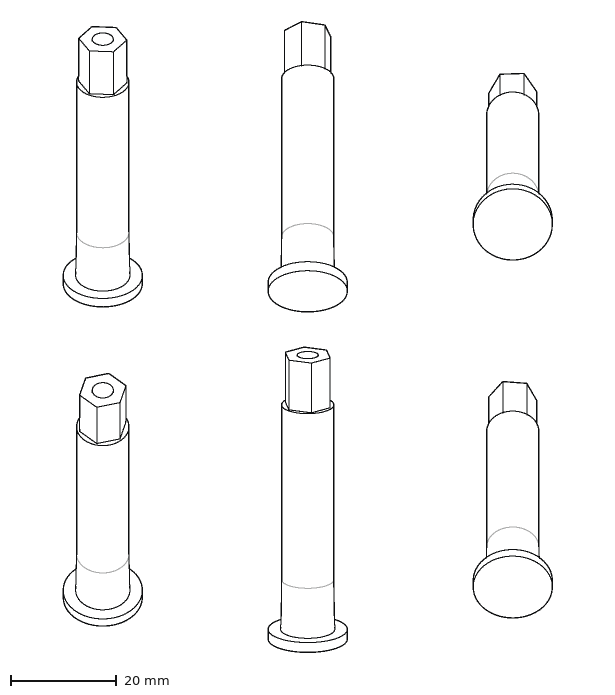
import cadquery as cq

total_length = 57.0
flange_diameter = 15.0
flange_thickness = 2.0
collar_length = 10.0
collar_base_diameter = 10.25
shank_diameter = 9.9
hex_length = 10.0
hex_across_corners = 9.1
hex_turn = 4.4
bore_diameter = 4.0
bore_depth = hex_length

shank_bottom = flange_thickness + collar_length
hex_bottom = total_length - hex_length


def turned_body():
    """Flange, tapered collar and straight shank as one revolved profile."""
    flange_radius = flange_diameter / 2
    shank_radius = shank_diameter / 2
    return (
        cq.Workplane("XZ")
        .moveTo(0, 0)
        .lineTo(flange_radius, 0)
        .lineTo(flange_radius, flange_thickness)
        .lineTo(collar_base_diameter / 2, flange_thickness)
        .lineTo(shank_radius, shank_bottom)
        .lineTo(shank_radius, hex_bottom)
        .lineTo(0, hex_bottom)
        .close()
        .revolve(360, (0, 0, 0), (0, 1, 0))
    )


def hex_drive():
    """Hexagonal end, turned slightly from the X axis."""
    return (
        cq.Workplane("XY", origin=(0, 0, hex_bottom))
        .polygon(6, hex_across_corners)
        .extrude(hex_length)
        .rotate((0, 0, 0), (0, 0, 1), hex_turn)
    )


def bore():
    """Flat-bottomed blind hole in the hexagonal end."""
    return (
        cq.Workplane("XY", origin=(0, 0, total_length - bore_depth))
        .circle(bore_diameter / 2)
        .extrude(bore_depth)
    )


result = turned_body().union(hex_drive()).cut(bore())